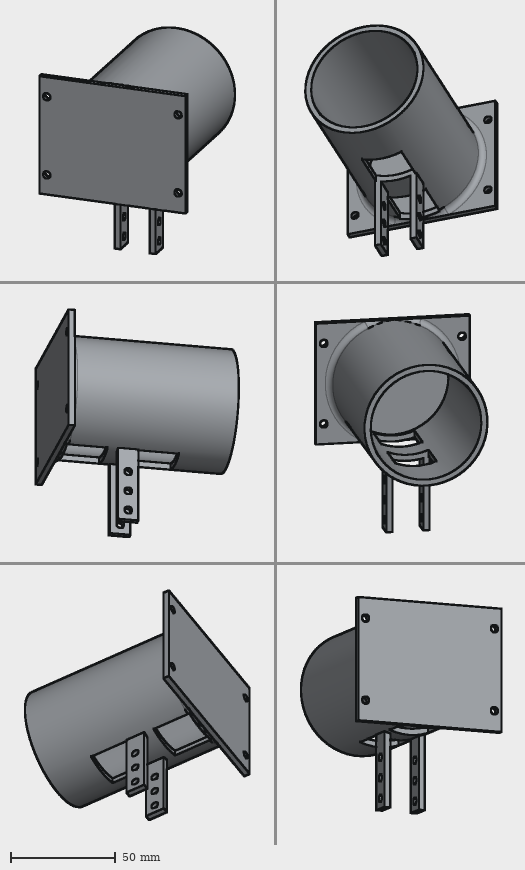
import cadquery as cq
import math

total_height = 95.0
total_length = 85.0

plate_width = 75.0
plate_height = 60.0
thickness = 3.0
hole_diameter = 3.6
plate_hole_spacing_x = 67.45
plate_hole_spacing_z = 40.0

tube_radius = plate_height / 2
bore_radius = tube_radius - thickness

fillet_radius = thickness
fillet_overlap = 0.95
tip_angle = math.radians(2)
taper_section_count = 6

window_size = 20.0
window_starts = (5.0, 40.0)

strap_gap = 15.0
strap_width = 10.0
strap_start = 30.0
strap_bottom = plate_height / 2 - total_height
strap_hole_pitch = 10.0
strap_hole_count = 3
lowest_strap_hole = strap_bottom + strap_width / 2


def box_between(x_range, y_range, z_range):
    """Box spanning the given (low, high) range along each axis."""
    lows, highs = zip(x_range, y_range, z_range)
    lengths = [high - low for low, high in zip(lows, highs)]
    return cq.Workplane("XY").box(*lengths, centered=False).translate(lows)


def cylinder_along_y(radius, start, end):
    """Cylinder on the Y axis, with its seam at the top."""
    axis_start = cq.Workplane(cq.Plane(origin=(0, start, 0), xDir=(0, 0, 1), normal=(0, 1, 0)))
    return axis_start.circle(radius).extrude(end - start)


def fillet_section(angle):
    """Fillet cross-section in the half-plane through the tube axis at this angle from vertical.

    The arc keeps its radius but sinks toward the plate where the plate edge leaves less than a full foot.
    """
    edge_gap = tube_radius / math.cos(angle) - tube_radius
    foot = min(edge_gap, fillet_radius)
    height = math.sqrt(2 * fillet_radius * foot - foot**2)
    half_sweep = math.asin(height / fillet_radius) / 2
    middle_radius = tube_radius + fillet_radius * (1 - math.cos(half_sweep))
    middle_y = thickness + height - fillet_radius * math.sin(half_sweep)
    radial = (math.sin(angle), 0, math.cos(angle))
    normal = (-math.cos(angle), 0, math.sin(angle))
    return (
        cq.Workplane(cq.Plane(origin=(0, 0, 0), xDir=radial, normal=normal))
        .moveTo(tube_radius - fillet_overlap, thickness)
        .lineTo(tube_radius - fillet_overlap, thickness + height)
        .lineTo(tube_radius, thickness + height)
        .threePointArc((middle_radius, middle_y), (tube_radius + foot, thickness))
        .close()
    )


def make_fillet():
    """Full fillet on both sides, tapering to nothing where the tube meets the plate edges."""
    taper_angle = math.acos(tube_radius / (tube_radius + fillet_radius))
    full_sweep = 180 - 2 * math.degrees(taper_angle)
    side = fillet_section(taper_angle).revolve(full_sweep, (0, 0), (0, 1))
    angle_step = (taper_angle - tip_angle) / (taper_section_count - 1)
    sections = [fillet_section(tip_angle + index * angle_step).val() for index in range(taper_section_count)]
    taper = cq.Workplane(cq.Solid.makeLoft(sections))
    half = side.union(taper).union(taper.mirror("XY"))
    return half.union(half.mirror("YZ"))


def make_plate_and_tube():
    half_width = plate_width / 2
    half_height = plate_height / 2
    plate = box_between((-half_width, half_width), (0, thickness), (-half_height, half_height))
    tube = cylinder_along_y(tube_radius, thickness, total_length)
    body = plate.union(tube).union(make_fillet())
    return body.cut(cylinder_along_y(bore_radius, thickness, total_length))


def make_plate_holes():
    return (
        cq.Workplane("XZ")
        .rarray(plate_hole_spacing_x, plate_hole_spacing_z, 2, 2)
        .circle(hole_diameter / 2)
        .extrude(-thickness)
    )


def make_window(start):
    half_size = window_size / 2
    return box_between((-half_size, half_size), (start, start + window_size), (-tube_radius, 0))


def make_straps():
    """Two drilled straps whose upper ends follow the tube wall, leaving the bore clear."""
    inner_x = strap_gap / 2
    outer_x = inner_x + thickness
    strap_end = strap_start + strap_width
    strap_top = thickness - bore_radius
    strap = box_between((inner_x, outer_x), (strap_start, strap_end), (strap_bottom, strap_top))
    strap = strap.cut(cylinder_along_y(bore_radius, strap_start, strap_end))
    hole_points = [
        (strap_start + strap_width / 2, lowest_strap_hole + index * strap_hole_pitch)
        for index in range(strap_hole_count)
    ]
    holes = cq.Workplane("YZ").pushPoints(hole_points).circle(hole_diameter / 2).extrude(outer_x)
    strap = strap.cut(holes)
    return strap.union(strap.mirror("YZ"))


result = make_plate_and_tube().cut(make_plate_holes())
for window_start in window_starts:
    result = result.cut(make_window(window_start))
result = result.union(make_straps())